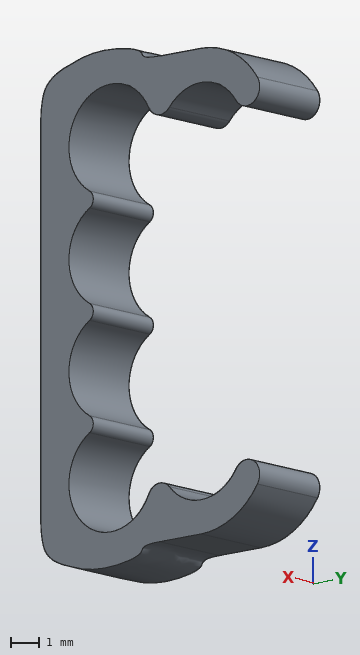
import cadquery as cq
import math

width = 3.18
depth = 10.41
height = 18.69
back_y = -depth / 2

seat_radius = 2.0
seat_pitch = 4.05
back_thickness = 1.35
back_seat_y = back_y + back_thickness + seat_radius
inner_seat = (back_seat_y, seat_pitch / 2)
outer_seat = (back_seat_y, 1.5 * seat_pitch)

arm_thickness = 1.23
arm_top_z = 8.77
arm_outer_radius = seat_radius + arm_thickness
arm_middle_radius = seat_radius + arm_thickness / 2
arm_seat_from_back = 7.63
arm_seat = (back_y + arm_seat_from_back, arm_top_z - arm_outer_radius)
tip_center_y = depth / 2 - arm_thickness / 2
tip_angle = math.acos((tip_center_y - arm_seat[0]) / arm_middle_radius)

back_ridge_radius = 0.35
arm_ridge_radius = 0.6

shoulder_start_z = 6.97
shoulder_points = [
    (back_y + 0.05, 7.83),
    (back_y + 0.2, 8.32),
    (back_y + 1.45, 9.08),
    (back_y + 3.07, height / 2),
    (back_y + 4.78, 9.0),
    (back_y + 5.65, arm_top_z),
]


def polar(center, radius, angle):
    """Point at an angle measured from +Y toward +Z."""
    return (center[0] + radius * math.cos(angle), center[1] + radius * math.sin(angle))


def toward(start, target, distance):
    """Point at a distance from start on the line to target."""
    return polar(start, distance, math.atan2(target[1] - start[1], target[0] - start[0]))


def ridge_center(first_seat, second_seat, ridge_radius):
    """Centre of the ridge round touching both seats, on the right going from first to second."""
    gap_y = second_seat[0] - first_seat[0]
    gap_z = second_seat[1] - first_seat[1]
    half_gap = math.hypot(gap_y, gap_z) / 2
    offset = math.sqrt((seat_radius + ridge_radius) ** 2 - half_gap ** 2)
    middle = ((first_seat[0] + second_seat[0]) / 2, (first_seat[1] + second_seat[1]) / 2)
    return polar(middle, offset, math.atan2(-gap_y, gap_z))


def upper_half():
    """Half section above Z = 0, extruded over the width."""
    arm_ridge = ridge_center(arm_seat, outer_seat, arm_ridge_radius)
    back_ridge = ridge_center(outer_seat, inner_seat, back_ridge_radius)
    middle_ridge = ridge_center(inner_seat, (inner_seat[0], -inner_seat[1]), back_ridge_radius)
    tip_center = polar(arm_seat, arm_middle_radius, tip_angle)
    tip_end = polar(tip_center, arm_thickness / 2, tip_angle - math.pi / 2)
    seat_top = math.pi / 2
    seat_back = math.pi
    ridge_bottom = -math.pi / 2
    middle_ridge_angle = math.pi / 6
    tip_to_top = (tip_angle + seat_top) / 2

    return (
        cq.Workplane("YZ", origin=(-width / 2, 0, 0))
        .moveTo(back_y, 0)
        .lineTo(back_y, shoulder_start_z)
        .spline(
            shoulder_points,
            tangents=[(0, 1), (1, 0)],
            includeCurrent=True,
        )
        .lineTo(arm_seat[0], arm_top_z)
        .threePointArc(
            polar(arm_seat, arm_outer_radius, tip_to_top),
            polar(arm_seat, arm_outer_radius, tip_angle),
        )
        .threePointArc(tip_end, polar(arm_seat, seat_radius, tip_angle))
        .threePointArc(polar(arm_seat, seat_radius, seat_top), toward(arm_seat, arm_ridge, seat_radius))
        .threePointArc(
            polar(arm_ridge, arm_ridge_radius, ridge_bottom),
            toward(outer_seat, arm_ridge, seat_radius),
        )
        .threePointArc(
            polar(outer_seat, seat_radius, seat_back),
            toward(outer_seat, back_ridge, seat_radius),
        )
        .threePointArc(
            polar(back_ridge, back_ridge_radius, 0),
            toward(inner_seat, back_ridge, seat_radius),
        )
        .threePointArc(
            polar(inner_seat, seat_radius, seat_back),
            toward(inner_seat, middle_ridge, seat_radius),
        )
        .threePointArc(
            polar(middle_ridge, back_ridge_radius, middle_ridge_angle),
            polar(middle_ridge, back_ridge_radius, 0),
        )
        .close()
        .extrude(width)
    )


upper = upper_half()
result = upper.union(upper.mirror("XY")).clean()